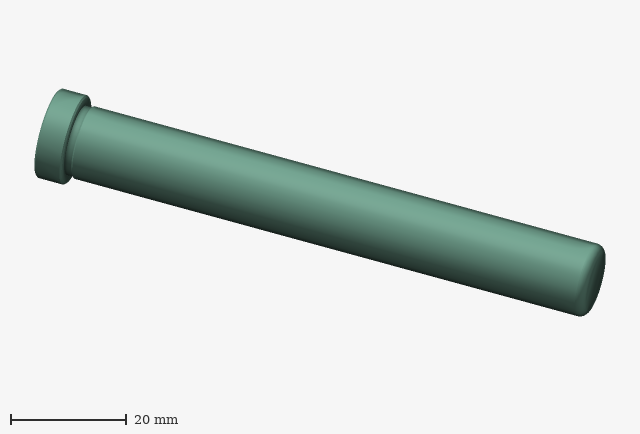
import cadquery as cq

total_length = 100.0
head_diameter = 16.0
head_length = 5.0
head_edge_chamfer = 0.3
shank_diameter = 13.0
tip_radius = 1.5
relief_width = 1.5
relief_depth = 0.3

head_radius = head_diameter / 2
shank_radius = shank_diameter / 2
relief_radius = shank_radius - relief_depth
relief_end = head_length + relief_width


def cylinder_along_x(start, end, radius):
    return cq.Workplane("YZ", origin=(start, 0, 0)).circle(radius).extrude(end - start)


def make_head():
    head = cylinder_along_x(0, head_length, head_radius)
    return head.faces("<X or >X").edges().chamfer(head_edge_chamfer)


def make_relief_neck():
    return cylinder_along_x(head_length, relief_end, relief_radius)


def make_shank():
    shank = cylinder_along_x(relief_end - relief_depth, total_length, shank_radius)
    shank = shank.faces("<X").edges().chamfer(relief_depth)
    return shank.faces(">X").edges().fillet(tip_radius)


result = make_head().union(make_relief_neck()).union(make_shank())